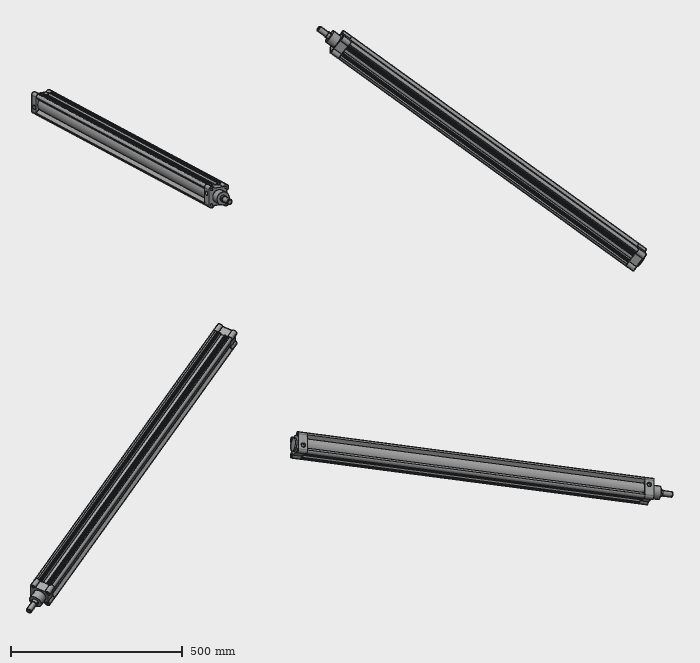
import cadquery as cq
import math

total_length = 1179.0
outer_width = 65.0
cap_length = 28.0
rear_boss_length = 5.0
front_face_x = 1111.0
collar_length = 27.0
boss_radius = 20.0

tube_start_x = rear_boss_length + cap_length
front_cap_x = front_face_x - cap_length
collar_end_x = front_face_x + collar_length

half_size = outer_width / 2
screw_offset = 24.0
lobe_radius = half_size - screw_offset
screw_hole_diameter = 7.0
screw_hole_depth = 17.0

cap_flat = 26.5
port_diameter = 13.0
port_depth = 10.0
port_height = 10.0
port_end_distance = 15.0

barrel_radius = 27.0
lobe_flank_run = 12.0
rail_outer_y = 18.0
rail_inner_y = 8.0
rail_foot_y = 5.0
rail_top = half_size
rail_foot_z = math.sqrt(barrel_radius**2 - rail_foot_y**2)
groove_center_y = 12.4
groove_width = 5.0
groove_floor = 25.0

rod_radius = 10.0
rod_shoulder_x = 1147.0
thread_radius = 8.0
thread_chamfer = 2.0
wrench_size = 18.0
wrench_flat_start_x = 1140.0

quadrants = [(-1, -1), (-1, 1), (1, -1), (1, 1)]
corners = [(sy * screw_offset, sz * screw_offset) for sy, sz in quadrants]


def section_plane(x):
    """Plane across the cylinder axis: local x is Y, local y is Z, extrusion runs toward +X."""
    return cq.Workplane("YZ", origin=(x, 0, 0))


def cap_body(start_x):
    """Cap with four round lobes, flat between them, and a raised port face on -Y."""
    cap = section_plane(start_x).rect(2 * cap_flat, 2 * cap_flat).extrude(cap_length)
    lobes = section_plane(start_x).pushPoints(corners).circle(lobe_radius).extrude(cap_length)
    port_pad = (
        section_plane(start_x)
        .center(-half_size / 2, 0)
        .rect(half_size, 2 * screw_offset)
        .extrude(cap_length)
    )
    return cap.union(lobes).union(port_pad)


def screw_holes(start_x):
    """Four screw holes in the lobes, reaching from start_x toward +X."""
    holes = section_plane(start_x).pushPoints(corners).circle(screw_hole_diameter / 2)
    return holes.extrude(screw_hole_depth)


def port(x, z):
    """Blind round port drilled toward +Y from the port face."""
    return cq.Workplane("XZ", origin=(x, -half_size, z)).circle(port_diameter / 2).extrude(-port_depth)


def make_rear_cap():
    boss = section_plane(0).circle(boss_radius).extrude(rear_boss_length)
    return (
        cap_body(rear_boss_length)
        .union(boss)
        .cut(screw_holes(rear_boss_length))
        .cut(port(rear_boss_length + port_end_distance, -port_height))
    )


def make_front_cap():
    collar = section_plane(front_face_x).circle(boss_radius).extrude(collar_length)
    rod_hole = section_plane(front_cap_x).circle(rod_radius).extrude(collar_end_x - front_cap_x)
    return (
        cap_body(front_cap_x)
        .union(collar)
        .cut(rod_hole)
        .cut(screw_holes(front_face_x - screw_hole_depth))
        .cut(port(front_face_x - port_end_distance, port_height))
    )


def tube_lobe(side_y, side_z, length):
    """Corner web with a rounded outside and 45 degree flanks falling toward the barrel."""
    inner = screw_offset - lobe_flank_run
    outer = half_size
    root = half_size - lobe_flank_run
    arc_mid = screw_offset + lobe_radius * math.sqrt(0.5)

    def at(y, z):
        return (side_y * y, side_z * z)

    return (
        section_plane(tube_start_x)
        .moveTo(*at(screw_offset, outer))
        .threePointArc(at(arc_mid, arc_mid), at(outer, screw_offset))
        .lineTo(*at(root, inner))
        .lineTo(*at(inner, root))
        .close()
        .extrude(length)
    )


def tube_rails(side_y, length):
    """Pair of rails, above and below, each with a slanted flank toward the middle."""
    outline = [
        (side_y * rail_outer_y, -rail_top),
        (side_y * rail_outer_y, rail_top),
        (side_y * rail_inner_y, rail_top),
        (side_y * rail_foot_y, rail_foot_z),
        (side_y * rail_foot_y, -rail_foot_z),
        (side_y * rail_inner_y, -rail_top),
    ]
    return section_plane(tube_start_x).polyline(outline).close().extrude(length)


def tube_grooves(length):
    """Straight sensor groove along the middle of every rail."""
    depth = rail_top - groove_floor
    middle_z = groove_floor + depth / 2
    centers = [(sy * groove_center_y, sz * middle_z) for sy, sz in quadrants]
    return section_plane(tube_start_x).pushPoints(centers).rect(groove_width, depth).extrude(length)


def make_tube():
    length = front_cap_x - tube_start_x
    tube = section_plane(tube_start_x).circle(barrel_radius).extrude(length)
    for side_y, side_z in quadrants:
        tube = tube.union(tube_lobe(side_y, side_z, length))
    for side_y in (-1, 1):
        tube = tube.union(tube_rails(side_y, length))
    return tube.cut(tube_grooves(length))


def make_rod():
    shank = section_plane(front_cap_x).circle(rod_radius).extrude(rod_shoulder_x - front_cap_x)
    thread = (
        section_plane(rod_shoulder_x)
        .circle(thread_radius)
        .extrude(total_length - rod_shoulder_x)
        .faces(">X")
        .chamfer(thread_chamfer)
    )
    flat_length = rod_shoulder_x - wrench_flat_start_x
    flat_depth = rod_radius - wrench_size / 2
    flat_centers = [(s * (wrench_size + flat_depth) / 2, 0) for s in (-1, 1)]
    flat_cuts = (
        section_plane(wrench_flat_start_x)
        .pushPoints(flat_centers)
        .rect(flat_depth, 2 * rod_radius)
        .extrude(flat_length)
    )
    return shank.union(thread).cut(flat_cuts)


rear_cap = make_rear_cap()
tube = make_tube()
front_cap = make_front_cap()
rod = make_rod()

result = cq.Compound.makeCompound([rear_cap.val(), tube.val(), front_cap.val(), rod.val()])